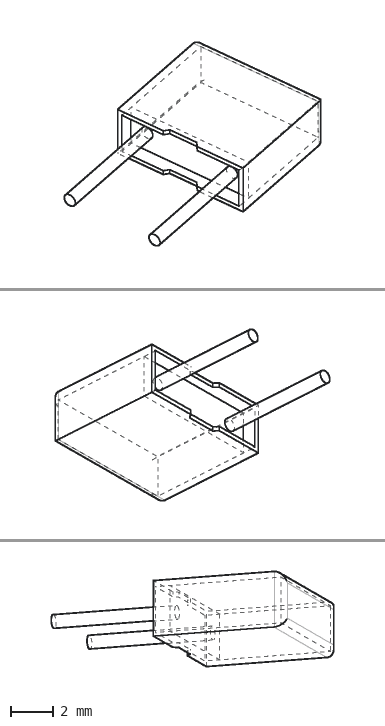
import cadquery as cq


total_length = 12.1
housing_width = 7.4
housing_length = 6.61
housing_height = 2.71
wall = 0.24
end_round = 0.5

notch_rim_width = 2.0
notch_floor_width = 1.6
notch_depth = 0.24

potting_recess = 0.75
cavity_width = housing_width - 2 * wall
cavity_height = housing_height - 2 * wall
cavity_depth = housing_length - wall

lead_diameter = 0.67
lead_pitch = 5.0
lead_end = housing_length - total_length


def block(width, height, y_start, y_end):
    """Box centred on X and Z, running from y_start to y_end."""
    return cq.Workplane("XY").box(width, y_end - y_start, height).translate((0, (y_start + y_end) / 2, 0))


def make_notch_cutter():
    """Trapezoidal prism that notches both broad walls."""
    return (
        cq.Workplane("XY")
        .polyline([
            (-notch_rim_width / 2, 0),
            (-notch_floor_width / 2, notch_depth),
            (notch_floor_width / 2, notch_depth),
            (notch_rim_width / 2, 0),
        ])
        .close()
        .extrude(housing_height / 2, both=True)
    )


def make_housing():
    """Hollow box with a rounded closed end and a notched open rim."""
    shell = block(housing_width, housing_height, 0, housing_length)
    shell = shell.faces(">Y").edges().fillet(end_round)
    shell = shell.cut(block(cavity_width, cavity_height, 0, cavity_depth))
    return shell.cut(make_notch_cutter())


def make_potting():
    """Resin that fills the cavity up to a face set back from the rim."""
    return block(cavity_width, cavity_height, potting_recess, cavity_depth)


def make_lead(x):
    """Straight round lead standing on the potting face."""
    return (
        cq.Workplane("XZ", origin=(x, potting_recess, 0))
        .circle(lead_diameter / 2)
        .extrude(potting_recess - lead_end)
    )


housing = make_housing()
potting = make_potting()
leads = [make_lead(side * lead_pitch / 2) for side in (-1, 1)]

result = cq.Compound.makeCompound([housing.val(), potting.val(), *[lead.val() for lead in leads]])